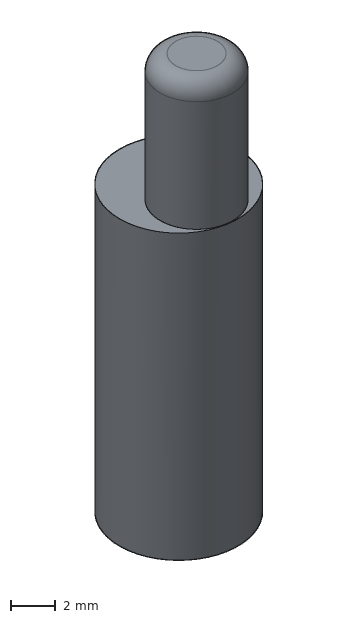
import cadquery as cq

total_height = 26.0
body_diameter = 7.5
body_height = 18.0
pin_diameter = 4.6
pin_offset = 1.4
tip_radius = 1.0

pin_height = total_height - body_height


def make_body():
    """Plain cylinder standing on the XY plane."""
    return cq.Workplane("XY").circle(body_diameter / 2).extrude(body_height)


def make_pin():
    """Eccentric pin on top of the body, with a rounded tip."""
    return (
        cq.Workplane("XY", origin=(pin_offset, 0, body_height))
        .circle(pin_diameter / 2)
        .extrude(pin_height)
        .faces(">Z")
        .edges()
        .fillet(tip_radius)
    )


result = make_body().union(make_pin())